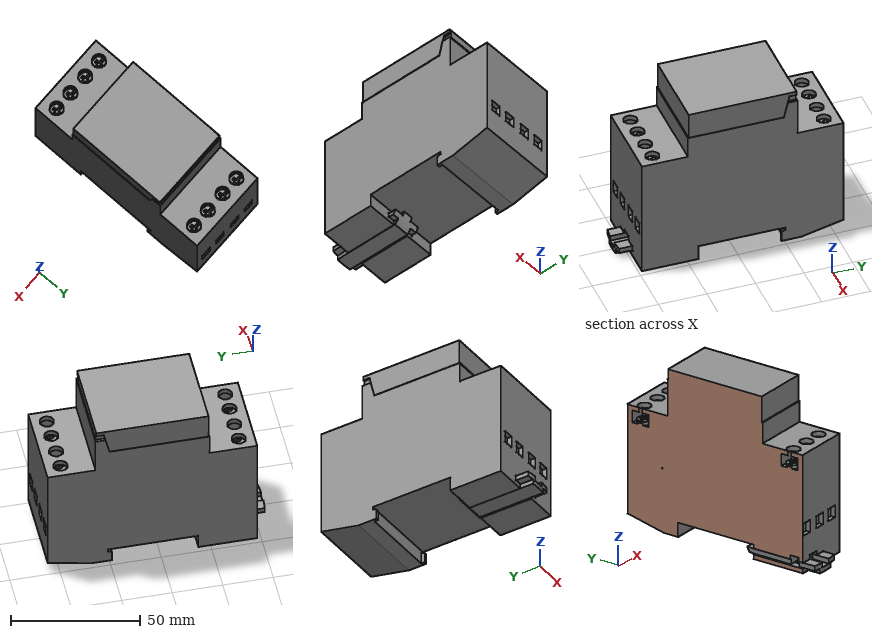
import cadquery as cq

WIDTH = 35.6
BODY_LENGTH = 83.0
TOTAL_LENGTH = 88.9
TOTAL_HEIGHT = 70.3
SHOULDER_HEIGHT = 50.4
NECK_LENGTH = 45.2
LEDGE_HEIGHT = 59.3
REAR_RIM_HEIGHT = 66.0

COVER_LENGTH = 44.45
COVER_WIDTH = 35.2
LID_UNDERSIDE = 68.7
NOTCH_DEPTH = 0.9
FLANK_TOP_Y = 19.3
FLANK_BOTTOM_Y = 17.0

RAIL_HEIGHT = 6.1
RAIL_FRONT_Y = -18.1
RAIL_REAR_Y = 17.6
LIP_REACH = 1.6
LIP_HEIGHT = 4.45
LIP_TOP_HEIGHT = 5.1
LIP_THICKNESS = 1.25
REAR_SLOPE_Y = 24.1
REAR_SLOPE_HEIGHT = 3.8

TERMINAL_X = (-12.45, -4.4, 4.4, 12.45)
SCREW_Y = 35.3
SCREW_HOLE_RADIUS = 2.8
SHOULDER_THICKNESS = 2.1
CHAMBER_X_MIN = 0.5
CHAMBER_X_MAX = 16.7
CHAMBER_LENGTH = 7.5
CHAMBER_FLOOR_DEPTH = 7.1
HEAD_RADIUS = 2.9
HEAD_RIM_HEIGHT = 1.4
DOME_HEIGHT = 0.4
SLOT_DEPTH = 1.1
SLOT_WIDTH = 0.9
CROSS_WIDTH = 1.25
CROSS_LENGTH = 3.6
CROSS_FLOOR_WIDTH = 0.7
CROSS_FLOOR_LENGTH = 2.5
WIRE_WIDTH = 4.5
WIRE_HEIGHT = 5.1
WIRE_BOTTOM = 15.9
END_WALL = 2.0

WING_WIDTH = 13.3
WING_BOTTOM = 2.3
WING_TOP = 4.45
STEM_WIDTH = 7.3
STEM_BOTTOM = 0.3
SIDE_CLEARANCE = 0.4
UNDER_CLEARANCE = 0.2
END_BULGE = 0.5
HOOK_REACH = 3.8
HOOK_MID_REACH = 2.2
HOOK_MID_HEIGHT = 2.6
CHANNEL_WIDTH = 4.45
INNER_CHANNEL_WIDTH = 3.7
INNER_CHANNEL_FLOOR = 2.9
RECESS_WIDTH = 4.6
RECESS_TOP = 6.2
ROOM_LENGTH = 3.8
RECESS_DEPTH = 8.0

BODY_END = BODY_LENGTH / 2
NECK_END = NECK_LENGTH / 2
COVER_END = COVER_LENGTH / 2
LATCH_END = BODY_END - TOTAL_LENGTH
RECESS_END = -BODY_END + RECESS_DEPTH
ROOM_START = -BODY_END + END_WALL
ROOM_END = ROOM_START + ROOM_LENGTH
SLOT_SPAN = WING_WIDTH + 2 * SIDE_CLEARANCE


def block(width, y_min, y_max, z_min, z_max):
    """Box centred on X, between two Y and two Z positions."""
    return (
        cq.Workplane("XY")
        .box(width, y_max - y_min, z_max - z_min, centered=(True, False, False))
        .translate((0, y_min, z_min))
    )


def side_profile(points, width):
    """Closed (Y, Z) outline extruded symmetrically along X."""
    return cq.Workplane("YZ").polyline(points).close().extrude(width / 2, both=True)


def make_housing():
    outline = [
        (-BODY_END, 0),
        (RAIL_FRONT_Y, 0),
        (RAIL_FRONT_Y, RAIL_HEIGHT),
        (RAIL_REAR_Y, RAIL_HEIGHT),
        (RAIL_REAR_Y, LIP_TOP_HEIGHT),
        (RAIL_REAR_Y - LIP_REACH, LIP_HEIGHT),
        (RAIL_REAR_Y - LIP_REACH, 0),
        (REAR_SLOPE_Y, 0),
        (BODY_END, REAR_SLOPE_HEIGHT),
        (BODY_END, SHOULDER_HEIGHT),
        (NECK_END, SHOULDER_HEIGHT),
        (NECK_END, REAR_RIM_HEIGHT),
        (FLANK_BOTTOM_Y, REAR_RIM_HEIGHT),
        (FLANK_BOTTOM_Y, LEDGE_HEIGHT),
        (-NECK_END, LEDGE_HEIGHT),
        (-NECK_END, SHOULDER_HEIGHT),
        (-BODY_END, SHOULDER_HEIGHT),
    ]
    housing = side_profile(outline, WIDTH)
    lip_gap = block(
        WIDTH - 2 * LIP_THICKNESS, RAIL_REAR_Y - LIP_REACH, RAIL_REAR_Y, 0, RAIL_HEIGHT
    )
    flank_clearance = side_profile(flank_outline(), WIDTH)
    return housing.cut(lip_gap).cut(flank_clearance)


def flank_outline():
    """Outline of the cover ahead of the notch under its rear edge."""
    return [
        (-COVER_END, LEDGE_HEIGHT),
        (FLANK_BOTTOM_Y, LEDGE_HEIGHT),
        (FLANK_TOP_Y, LID_UNDERSIDE),
        (-COVER_END, LID_UNDERSIDE),
    ]


def make_cover():
    lid = block(COVER_WIDTH, -COVER_END, COVER_END, LID_UNDERSIDE, TOTAL_HEIGHT)
    skirt = side_profile(flank_outline(), COVER_WIDTH)
    rear_core = block(
        COVER_WIDTH - 2 * NOTCH_DEPTH, FLANK_BOTTOM_Y, COVER_END, LEDGE_HEIGHT, LID_UNDERSIDE
    )
    return lid.union(skirt).union(rear_core)


def make_screw_head():
    """Domed head with a cross slot, standing on the floor of a terminal chamber."""
    head_floor = SHOULDER_HEIGHT - CHAMBER_FLOOR_DEPTH
    rim = head_floor + HEAD_RIM_HEIGHT
    dome_top = rim + DOME_HEIGHT
    dome_radius = (HEAD_RADIUS**2 + DOME_HEIGHT**2) / (2 * DOME_HEIGHT)
    head = (
        cq.Workplane("XZ")
        .moveTo(0, head_floor)
        .lineTo(HEAD_RADIUS, head_floor)
        .lineTo(HEAD_RADIUS, rim)
        .radiusArc((0, dome_top), -dome_radius)
        .close()
        .revolve(360, (0, 0, 0), (0, 1, 0))
    )
    slot_floor = dome_top - SLOT_DEPTH
    slot = (
        cq.Workplane("XY")
        .workplane(offset=slot_floor)
        .rect(2 * HEAD_RADIUS, SLOT_WIDTH)
        .extrude(SLOT_DEPTH)
    )
    cross = (
        cq.Workplane("XY")
        .workplane(offset=slot_floor)
        .rect(CROSS_FLOOR_WIDTH, CROSS_FLOOR_LENGTH)
        .workplane(offset=SLOT_DEPTH)
        .rect(CROSS_WIDTH, CROSS_LENGTH)
        .loft()
    )
    return head.cut(slot).cut(cross)


def make_chamber():
    """Cutter for the chamber shared by the two right-hand screws of a row centred at Y = 0."""
    chamber_floor = SHOULDER_HEIGHT - CHAMBER_FLOOR_DEPTH
    chamber_top = SHOULDER_HEIGHT - SHOULDER_THICKNESS
    chamber = block(
        CHAMBER_X_MAX - CHAMBER_X_MIN, -CHAMBER_LENGTH / 2, CHAMBER_LENGTH / 2, chamber_floor, chamber_top
    )
    return chamber.translate(((CHAMBER_X_MIN + CHAMBER_X_MAX) / 2, 0, 0))


def add_terminals(housing):
    right_chamber = make_chamber()
    left_chamber = right_chamber.mirror("YZ")
    screw_hole = (
        cq.Workplane("XY")
        .workplane(offset=SHOULDER_HEIGHT - SHOULDER_THICKNESS)
        .circle(SCREW_HOLE_RADIUS)
        .extrude(SHOULDER_THICKNESS)
    )
    screw_head = make_screw_head()
    wire_opening = block(
        WIRE_WIDTH, -END_WALL / 2, END_WALL / 2, WIRE_BOTTOM, WIRE_BOTTOM + WIRE_HEIGHT
    )
    wire_y = BODY_END - END_WALL / 2
    for side in (-1, 1):
        row_y = side * SCREW_Y
        for chamber in (left_chamber, right_chamber):
            housing = housing.cut(chamber.translate((0, row_y, 0)))
        for x in TERMINAL_X:
            housing = housing.cut(screw_hole.translate((x, row_y, 0)))
            housing = housing.union(screw_head.translate((x, row_y, 0)))
            housing = housing.cut(wire_opening.translate((x, side * wire_y, 0)))
    return housing


def cut_latch_guide(housing):
    """Guide slot around the latch, with a square recess over its channel."""
    wing_slot = block(
        SLOT_SPAN, -BODY_END, RAIL_FRONT_Y, WING_BOTTOM - UNDER_CLEARANCE, WING_TOP
    )
    stem_slot = block(STEM_WIDTH + 2 * SIDE_CLEARANCE, -BODY_END, RAIL_FRONT_Y, 0, WING_TOP)
    recess = block(RECESS_WIDTH, -BODY_END, RECESS_END, WING_TOP, RECESS_TOP)
    room = block(SLOT_SPAN, ROOM_START, ROOM_END, WING_TOP, RECESS_TOP)
    return housing.cut(wing_slot).cut(stem_slot).cut(recess).cut(room)


def make_latch():
    hook_end = RAIL_FRONT_Y + HOOK_REACH
    wings = block(WING_WIDTH, LATCH_END, hook_end, WING_BOTTOM, WING_TOP)
    stem = block(STEM_WIDTH, LATCH_END, hook_end, STEM_BOTTOM, WING_TOP)
    hook_rib = block(CHANNEL_WIDTH, RAIL_FRONT_Y, hook_end, WING_TOP, RAIL_HEIGHT)
    latch = wings.union(stem).union(hook_rib)

    plan = (
        cq.Workplane("XY")
        .moveTo(-WING_WIDTH / 2, hook_end)
        .lineTo(-WING_WIDTH / 2, LATCH_END + END_BULGE)
        .threePointArc((0, LATCH_END), (WING_WIDTH / 2, LATCH_END + END_BULGE))
        .lineTo(WING_WIDTH / 2, hook_end)
        .close()
        .extrude(RAIL_HEIGHT)
    )
    side = (
        cq.Workplane("YZ")
        .moveTo(LATCH_END, 0)
        .lineTo(RAIL_FRONT_Y, 0)
        .threePointArc((RAIL_FRONT_Y + HOOK_MID_REACH, HOOK_MID_HEIGHT), (hook_end, RAIL_HEIGHT))
        .lineTo(LATCH_END, RAIL_HEIGHT)
        .close()
        .extrude(WING_WIDTH / 2, both=True)
    )
    latch = latch.intersect(plan).intersect(side)

    channel = block(CHANNEL_WIDTH, LATCH_END, ROOM_START, WING_BOTTOM, WING_TOP)
    waist = block(WING_WIDTH, ROOM_START, ROOM_END, WING_BOTTOM, WING_TOP)
    inner_channel = block(INNER_CHANNEL_WIDTH, ROOM_END, RECESS_END, INNER_CHANNEL_FLOOR, WING_TOP)
    return latch.cut(channel).cut(waist).cut(inner_channel)


housing = cut_latch_guide(add_terminals(make_housing()))
result = housing.union(make_cover()).union(make_latch())